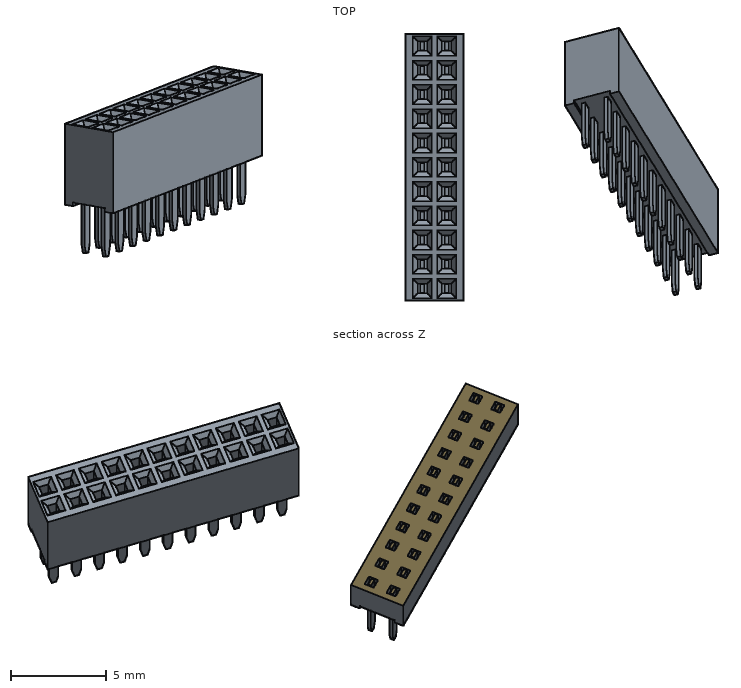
import cadquery as cq

pitch = 1.27
columns = 2
rows = 11

housing_width = 3.05
housing_length = rows * pitch
housing_height = 4.4
foot_width = 0.51
standoff = 0.2

socket_mouth = 1.0
socket_throat = 0.5
lead_in_depth = 0.25
well_depth = 3.0

pin_thickness = 0.2
pin_width = 0.5
pin_tip_width = 0.25
pin_upper_width = 0.425
pin_taper_length = 0.5
pin_reach = 2.6
pin_rise_in_well = 1.0

contact_points = [
    ((column - (columns - 1) / 2) * pitch, (row - (rows - 1) / 2) * pitch)
    for column in range(columns)
    for row in range(rows)
]


def make_housing():
    """Block with a full-length channel below that leaves a foot on each long side."""
    block = cq.Workplane("XY").box(
        housing_width, housing_length, housing_height, centered=(True, True, False)
    )
    channel = cq.Workplane("XY").box(
        housing_width - 2 * foot_width, housing_length, standoff, centered=(True, True, False)
    )
    return block.cut(channel)


def make_socket():
    """Volume removed for one contact, centred on the Z axis."""
    lead_in = (
        cq.Workplane("XY")
        .workplane(offset=housing_height)
        .rect(socket_mouth, socket_mouth)
        .workplane(offset=-lead_in_depth)
        .rect(socket_throat, socket_throat)
        .loft(ruled=True)
    )
    well = (
        cq.Workplane("XY")
        .workplane(offset=housing_height)
        .rect(socket_throat, socket_throat)
        .extrude(-well_depth)
    )
    return lead_in.union(well)


def make_pin():
    """Blade for one contact, centred on the Z axis, from inside its well down to its tip."""
    top_z = housing_height - well_depth + pin_rise_in_well
    tip_z = -pin_reach
    shoulder_z = tip_z + pin_taper_length
    return (
        cq.Workplane("YZ")
        .moveTo(-pin_upper_width / 2, top_z)
        .lineTo(-pin_upper_width / 2, standoff)
        .lineTo(-pin_width / 2, standoff)
        .lineTo(-pin_width / 2, shoulder_z)
        .lineTo(-pin_tip_width / 2, tip_z)
        .lineTo(pin_tip_width / 2, tip_z)
        .lineTo(pin_width / 2, shoulder_z)
        .lineTo(pin_width / 2, standoff)
        .lineTo(pin_upper_width / 2, standoff)
        .lineTo(pin_upper_width / 2, top_z)
        .close()
        .extrude(pin_thickness / 2, both=True)
    )


def at_contacts(shape):
    """Copies of a shape at every contact position."""
    solid = shape.val()
    return cq.Workplane("XY").pushPoints(contact_points).eachpoint(
        lambda location: solid.moved(location)
    )


result = make_housing().cut(at_contacts(make_socket())).union(at_contacts(make_pin()))